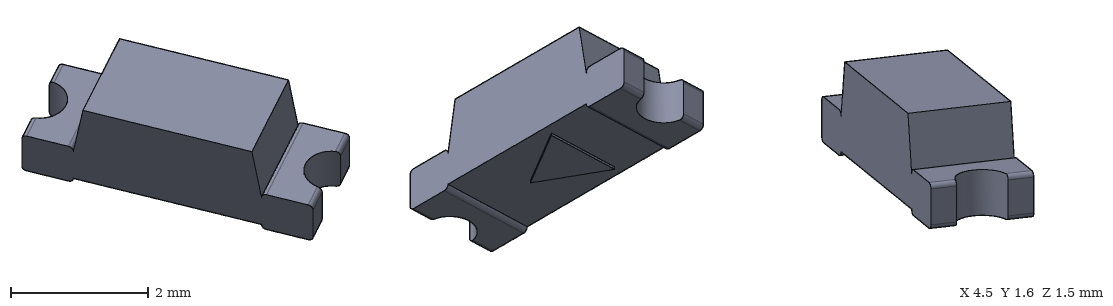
import cadquery as cq
import math

length = 4.5
width = 1.6
height = 1.5

terminal_length = 0.795
terminal_height = 0.7
plating = 0.075
notch_radius = 0.4

lens_base_length = length - 2 * terminal_length
lens_top_length = 2.61

mark_length = 1.105
mark_width = 2 * mark_length / math.sqrt(3)
mark_thickness = 0.04
mark_direction = -1

board_top = terminal_height - plating


def make_board():
    """Flat board whose ends and faces sit inside the terminal plating."""
    board_length = length - 2 * plating
    board_height = board_top - plating
    return (
        cq.Workplane("XY")
        .box(board_length, width, board_height, (True, True, False))
        .translate((0, 0, plating))
    )


def make_terminal(side):
    """Rounded end cap; side is -1 or 1 along X."""
    center_x = side * (length - terminal_length) / 2
    return (
        cq.Workplane("XY")
        .box(terminal_length, width, terminal_height, (True, True, False))
        .edges("|Y")
        .fillet(plating)
        .translate((center_x, 0, 0))
    )


def make_lens():
    """Trapezoid in XZ, extruded across the full width."""
    base = lens_base_length / 2
    top = lens_top_length / 2
    outline = [(-base, board_top), (base, board_top), (top, height), (-top, height)]
    return cq.Workplane("XZ").polyline(outline).close().extrude(width / 2, both=True)


def make_mark():
    """Thin triangular pad on the underside of the board, pointing along X."""
    tip = mark_direction * mark_length / 2
    outline = [(tip, 0), (-tip, mark_width / 2), (-tip, -mark_width / 2)]
    return (
        cq.Workplane("XY")
        .workplane(offset=plating - mark_thickness)
        .polyline(outline)
        .close()
        .extrude(mark_thickness)
    )


def make_end_notches():
    """Round cutters centred on both end faces."""
    return (
        cq.Workplane("XY")
        .pushPoints([(-length / 2, 0), (length / 2, 0)])
        .circle(notch_radius)
        .extrude(terminal_height)
    )


result = make_board().union(make_lens()).union(make_mark())
for end in (-1, 1):
    result = result.union(make_terminal(end))
result = result.cut(make_end_notches())